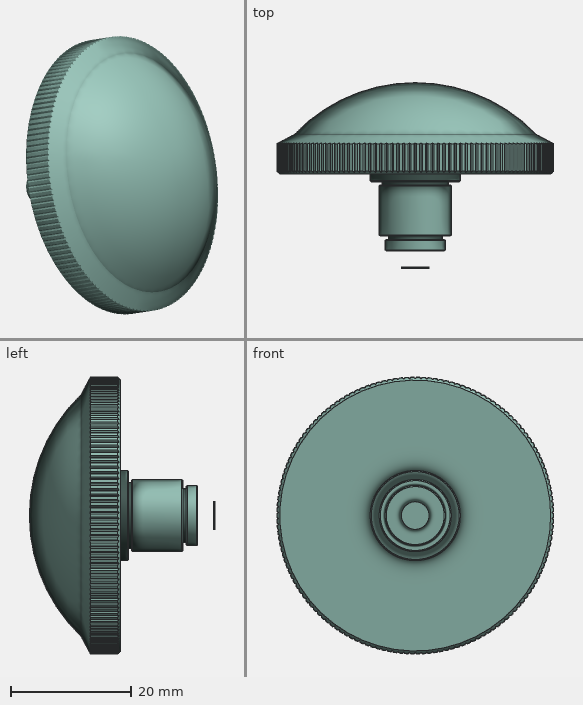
import cadquery as cq


HEAD_RADIUS = 23.0
RIM_HEIGHT = 5.0
BACK_CHAMFER = 0.5
DOME_RADIUS_AT_BASE = 20.05
DOME_BASE_HEIGHT = 6.6
HEAD_HEIGHT = 15.2
DOME_RISE = HEAD_HEIGHT - DOME_BASE_HEIGHT
DOME_SPHERE_RADIUS = (DOME_RADIUS_AT_BASE**2 + DOME_RISE**2) / (2 * DOME_RISE)

GROOVE_COUNT = 150
GROOVE_WIDTH = 0.45
GROOVE_DEPTH = 0.25
GROOVE_OVERCUT = 0.25

COLLAR_DIAMETER = 15.0
COLLAR_END = 1.3
UNDERCUT_DIAMETER = 11.0
UNDERCUT_END = 1.8
SHANK_DIAMETER = 12.0
SHANK_END = 10.3
NECK_DIAMETER = 8.95
NECK_END = 10.85
TIP_DIAMETER = 10.05
TIP_END = 12.8
STEM_CHAMFER = 0.2

DISC_DIAMETER = 4.6
DISC_THICKNESS = 0.28
OVERALL_LENGTH = 30.85
DISC_END = OVERALL_LENGTH - HEAD_HEIGHT


def cylinder(diameter, start, end):
    """Cylinder on the Y axis, from `start` to `end` measured toward -Y."""
    return cq.Workplane("XZ", origin=(0, -start, 0)).circle(diameter / 2).extrude(end - start)


def make_head():
    """Chamfered rim, short cone and spherical dome, revolved about the Y axis."""
    arc_middle_radius = DOME_RADIUS_AT_BASE / 2
    sphere_centre = HEAD_HEIGHT - DOME_SPHERE_RADIUS
    arc_middle_height = sphere_centre + (DOME_SPHERE_RADIUS**2 - arc_middle_radius**2) ** 0.5
    return (
        cq.Workplane("XY")
        .lineTo(HEAD_RADIUS - BACK_CHAMFER, 0)
        .lineTo(HEAD_RADIUS, BACK_CHAMFER)
        .lineTo(HEAD_RADIUS, RIM_HEIGHT)
        .lineTo(DOME_RADIUS_AT_BASE, DOME_BASE_HEIGHT)
        .threePointArc((arc_middle_radius, arc_middle_height), (0, HEAD_HEIGHT))
        .close()
        .revolve(360, (0, 0, 0), (0, 1, 0))
    )


def make_knurl_cutters():
    """Ring of V-shaped bars; the first groove is at the +Z side of the rim."""
    half_mouth = GROOVE_WIDTH / 2 * (GROOVE_DEPTH + GROOVE_OVERCUT) / GROOVE_DEPTH
    outer = HEAD_RADIUS + GROOVE_OVERCUT
    bar = (
        cq.Workplane("XZ")
        .moveTo(0, HEAD_RADIUS - GROOVE_DEPTH)
        .lineTo(half_mouth, outer)
        .lineTo(-half_mouth, outer)
        .close()
        .extrude(-DOME_BASE_HEIGHT)
        .val()
    )
    pitch_angle = 360 / GROOVE_COUNT
    bars = [bar.rotate((0, 0, 0), (0, 1, 0), i * pitch_angle) for i in range(GROOVE_COUNT)]
    return cq.Workplane(cq.Compound.makeCompound(bars))


def make_stem():
    """Collar, undercut, shank, neck and tip; the free rims are chamfered."""
    collar = cylinder(COLLAR_DIAMETER, 0, COLLAR_END).faces("<Y").chamfer(STEM_CHAMFER)
    undercut = cylinder(UNDERCUT_DIAMETER, COLLAR_END, UNDERCUT_END)
    shank = cylinder(SHANK_DIAMETER, UNDERCUT_END, SHANK_END).faces("<Y or >Y").chamfer(STEM_CHAMFER)
    neck = cylinder(NECK_DIAMETER, SHANK_END, NECK_END)
    tip = cylinder(TIP_DIAMETER, NECK_END, TIP_END).faces("<Y or >Y").chamfer(STEM_CHAMFER)
    return collar.union(undercut).union(shank).union(neck).union(tip)


def make_knob():
    return make_head().cut(make_knurl_cutters()).union(make_stem())


def make_disc():
    return cylinder(DISC_DIAMETER, DISC_END - DISC_THICKNESS, DISC_END)


knob = make_knob()
disc = make_disc()
result = cq.Compound.makeCompound([knob.val(), disc.val()])